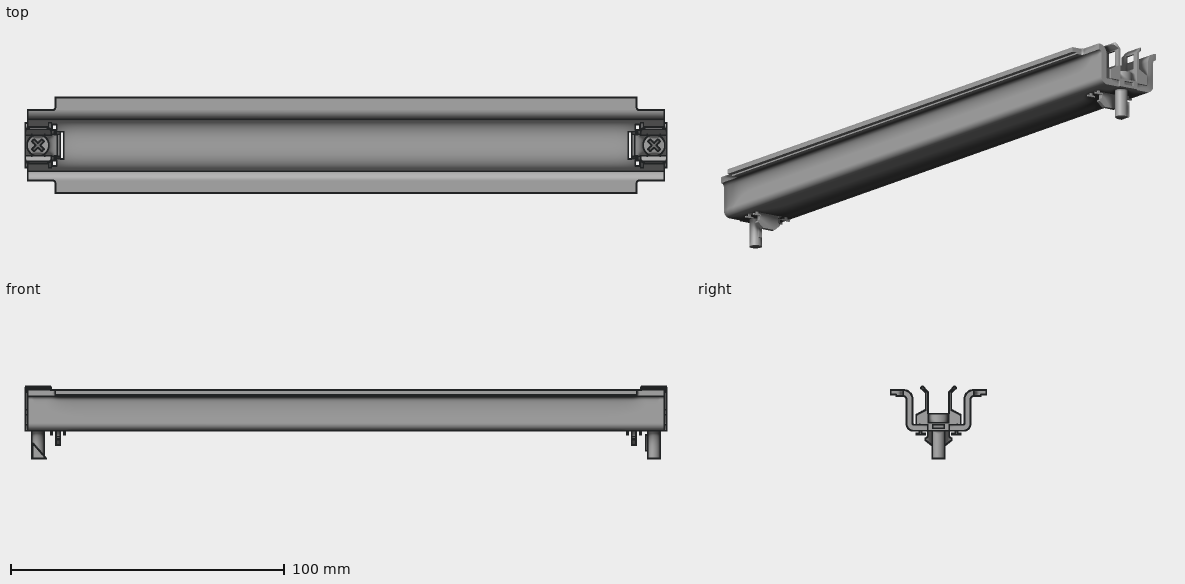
import cadquery as cq
import math

TOTAL_LENGTH = 234.5
TOTAL_HEIGHT = 26.5
END_X = TOTAL_LENGTH / 2

RAIL_LENGTH = 232.6
RAIL_WIDTH = 35.0
RAIL_BOTTOM = 10.0
RAIL_TOP = 25.0
SHEET = 2.3
WALL_OUTER_Y = 11.7
FLOOR_BEND_INNER = 0.35
FLANGE_BEND_INNER = 1.2
WING_THICKNESS = 1.75
WING_STEP_Y = 15.5
WING_LENGTH = 212.5
WING_CORNER_RADIUS = 1.0
FLOOR_TOP = RAIL_BOTTOM + SHEET
BEND_END_Y = WALL_OUTER_Y + FLANGE_BEND_INNER

CLIP_LENGTH = 9.5
CLIP_SHEET = 1.0
BASE_THICKNESS = 0.7
BASE_TOP = FLOOR_TOP + BASE_THICKNESS
BASE_Y = 6.8
SHOULDER_Y = 8.2
SHOULDER_TOP = 16.0
SHOULDER_PEAK = 17.8
HEAD_CLEARANCE_Y = 4.0
ARM_INNER_Y = 3.8
ARM_OUTER_Y = ARM_INNER_Y + CLIP_SHEET
TAB_OPENING_Y = 2.0
TAB_OPENING_BOTTOM = 11.0
LIP_START = 24.2
LIP_REACH = 2.0
LIP_CORNER = 1.9
WINDOW_LENGTH = 5.0
WINDOW_BOTTOM = 18.3
WINDOW_TOP = 24.0

SLOT_START = 10.8
SLOT_LENGTH = 3.3
TONGUE_END = 11.7
HOOK_START = 11.3
HOOK_LENGTH = 1.6
HOOK_Y = 4.0
BARB_Y = 5.0
BARB_TOP = 8.0
BARB_EDGE = 6.8
BARB_FLAT = 0.5
HOOK_TIP_Y = 2.5
HOOK_BOTTOM = 5.0
FOOT_STARTS = (9.4, 14.0)
FOOT_LENGTH = 0.59
FOOT_CENTER_Y = 6.5
FOOT_WIDTH = 3.3
FOOT_STEM_WIDTH = 1.0
FOOT_BOTTOM = 8.7
FOOT_THICKNESS = 0.59
FOOT_SLOT_START = 9.8
FOOT_SLOT_LENGTH = 1.6
FOOT_SLOT_WIDTH = 1.9

SCREW_X = 4.7
SHANK_DIAMETER = 4.7
HEAD_DIAMETER = 8.0
HEAD_TOP = 16.5
RECESS_LENGTH = 5.2
RECESS_WIDTH = 1.2
RECESS_DEPTH = 1.5
BLADE_REACH = 3.0
BLADE_BACK = 1.9
BLADE_TOP = 5.6
RIB_WIDTH = 1.5
RIB_BOTTOM = 2.8
RIB_TOP = 8.7


def box(x0, x1, y0, y1, z0, z1):
    """Box between opposite corners."""
    return cq.Workplane("XY").box(x1 - x0, y1 - y0, z1 - z0, centered=False).translate((x0, y0, z0))


def both_sides(body):
    """Body together with its mirror image across the XZ plane."""
    return body.union(body.mirror("XZ"))


def arc_middle(center_y, center_z, radius, angle):
    """Point of a bend at the given angle in degrees."""
    turn = math.radians(angle)
    return (center_y + radius * math.cos(turn), center_z + radius * math.sin(turn))


def rail_half():
    """Half of the hat section, swept along the rail, with its flange cut back at both ends."""
    wall_inner_y = WALL_OUTER_Y - SHEET
    floor_bend_y = wall_inner_y - FLOOR_BEND_INNER
    floor_bend_z = FLOOR_TOP + FLOOR_BEND_INNER
    floor_outer_radius = FLOOR_BEND_INNER + SHEET
    flange_under = RAIL_TOP - SHEET
    flange_bend_z = flange_under - FLANGE_BEND_INNER
    flange_outer_radius = FLANGE_BEND_INNER + SHEET
    edge_y = RAIL_WIDTH / 2
    half = (
        cq.Workplane("YZ")
        .moveTo(0, RAIL_BOTTOM)
        .lineTo(floor_bend_y, RAIL_BOTTOM)
        .threePointArc(
            arc_middle(floor_bend_y, floor_bend_z, floor_outer_radius, -45),
            (WALL_OUTER_Y, floor_bend_z),
        )
        .lineTo(WALL_OUTER_Y, flange_bend_z)
        .threePointArc(
            arc_middle(BEND_END_Y, flange_bend_z, FLANGE_BEND_INNER, 135),
            (BEND_END_Y, flange_under),
        )
        .lineTo(WING_STEP_Y, flange_under)
        .lineTo(WING_STEP_Y, RAIL_TOP - WING_THICKNESS)
        .lineTo(edge_y, RAIL_TOP - WING_THICKNESS)
        .lineTo(edge_y, RAIL_TOP)
        .lineTo(BEND_END_Y, RAIL_TOP)
        .threePointArc(
            arc_middle(BEND_END_Y, flange_bend_z, flange_outer_radius, 135),
            (wall_inner_y, flange_bend_z),
        )
        .lineTo(wall_inner_y, floor_bend_z)
        .threePointArc(
            arc_middle(floor_bend_y, floor_bend_z, FLOOR_BEND_INNER, -45),
            (floor_bend_y, FLOOR_TOP),
        )
        .lineTo(0, FLOOR_TOP)
        .close()
        .extrude(RAIL_LENGTH / 2, both=True)
    )
    for side in (-1, 1):
        trim = (
            box(WING_LENGTH / 2, END_X, BEND_END_Y, RAIL_WIDTH, RAIL_BOTTOM, TOTAL_HEIGHT)
            .edges("|Z and <X and <Y")
            .fillet(WING_CORNER_RADIUS)
        )
        if side < 0:
            trim = trim.mirror("YZ")
        half = half.cut(trim)
    return half


def shoulder_plate(start):
    """Upright cross plate with sloped shoulders, open in the middle for the screw head."""
    half = (
        cq.Workplane("YZ")
        .polyline([
            (HEAD_CLEARANCE_Y, FLOOR_TOP),
            (SHOULDER_Y, FLOOR_TOP),
            (SHOULDER_Y, SHOULDER_TOP),
            (ARM_OUTER_Y, SHOULDER_PEAK),
            (HEAD_CLEARANCE_Y, SHOULDER_PEAK),
        ])
        .close()
        .extrude(CLIP_SHEET)
        .translate((start, 0, 0))
    )
    return both_sides(half)


def spring_arms():
    """Pair of upright arms with outward lips, each pierced by a window."""
    tip_drop = CLIP_SHEET / math.sqrt(2)
    lip_inner_y = ARM_INNER_Y + LIP_REACH
    arm = (
        cq.Workplane("YZ")
        .polyline([
            (ARM_INNER_Y, FLOOR_TOP),
            (ARM_OUTER_Y, FLOOR_TOP),
            (ARM_OUTER_Y, LIP_START),
            (lip_inner_y + tip_drop, TOTAL_HEIGHT - tip_drop),
            (lip_inner_y, TOTAL_HEIGHT),
            (ARM_INNER_Y, LIP_START),
        ])
        .close()
        .extrude(CLIP_LENGTH)
    )
    rounded_outline = (
        box(0, CLIP_LENGTH, 0, lip_inner_y + tip_drop, 0, TOTAL_HEIGHT)
        .edges("|Z and >Y")
        .fillet(LIP_CORNER)
    )
    window_start = (CLIP_LENGTH - WINDOW_LENGTH) / 2
    window = box(
        window_start, window_start + WINDOW_LENGTH, 0, SHOULDER_Y, WINDOW_BOTTOM, WINDOW_TOP
    )
    return both_sides(arm.intersect(rounded_outline).cut(window))


def clip_base():
    """Base plate on the rail floor, its end tab and the tongue that carries the hook."""
    plate = box(0, CLIP_LENGTH, -BASE_Y, BASE_Y, FLOOR_TOP, BASE_TOP)
    end_tab = box(0, CLIP_SHEET, -HOOK_Y, HOOK_Y, RAIL_BOTTOM, BASE_TOP)
    opening = box(0, CLIP_SHEET, -TAB_OPENING_Y, TAB_OPENING_Y, TAB_OPENING_BOTTOM, FLOOR_TOP)
    tongue = box(CLIP_LENGTH, TONGUE_END, -HOOK_Y, HOOK_Y, FLOOR_TOP, BASE_TOP)
    return plate.union(end_tab.cut(opening)).union(tongue)


def hook():
    """Barbed blade reaching down through the floor slot."""
    half = (
        cq.Workplane("YZ")
        .polyline([
            (0, FLOOR_TOP),
            (HOOK_Y, FLOOR_TOP),
            (HOOK_Y, BARB_TOP),
            (BARB_Y, BARB_EDGE + BARB_FLAT),
            (BARB_Y, BARB_EDGE),
            (HOOK_TIP_Y, HOOK_BOTTOM),
            (0, HOOK_BOTTOM),
        ])
        .close()
        .extrude(HOOK_LENGTH)
        .translate((HOOK_START, 0, 0))
    )
    return both_sides(half)


def feet():
    """Small T-shaped feet under the rail floor."""
    body = cq.Workplane("XY")
    for start in FOOT_STARTS:
        end = start + FOOT_LENGTH
        for side in (-1, 1):
            center = side * FOOT_CENTER_Y
            half_stem = FOOT_STEM_WIDTH / 2
            half_pad = FOOT_WIDTH / 2
            pad_top = FOOT_BOTTOM + FOOT_THICKNESS
            stem = box(start, end, center - half_stem, center + half_stem, FOOT_BOTTOM, FLOOR_TOP)
            pad = box(start, end, center - half_pad, center + half_pad, FOOT_BOTTOM, pad_top)
            body = body.union(stem).union(pad)
    return body


def screw():
    """Screw with a diagonal cross recess."""
    shank = cq.Workplane("XY").circle(SHANK_DIAMETER / 2).extrude(HEAD_TOP)
    head = (
        cq.Workplane("XY")
        .workplane(offset=FLOOR_TOP)
        .circle(HEAD_DIAMETER / 2)
        .extrude(HEAD_TOP - FLOOR_TOP)
    )
    body = shank.union(head)
    for angle in (45, 135):
        slot = (
            cq.Workplane("XY")
            .rect(RECESS_LENGTH, RECESS_WIDTH)
            .extrude(RECESS_DEPTH)
            .rotate((0, 0, 0), (0, 0, 1), angle)
            .translate((0, 0, HEAD_TOP - RECESS_DEPTH))
        )
        body = body.cut(slot)
    return body.translate((SCREW_X, 0, 0))


def cutting_blade():
    """Slanted cutting blade on the front of the shank, at the tip of the screw at the -X end."""
    return (
        cq.Workplane("XZ")
        .polyline([(-BLADE_BACK, 0), (BLADE_REACH, 0), (-BLADE_BACK, BLADE_TOP)])
        .close()
        .extrude(SHANK_DIAMETER / 2)
        .translate((SCREW_X - END_X, 0, 0))
    )


def shank_rib():
    """Short upright rib on the inward side of the shank of the screw at the +X end."""
    screw_x = END_X - SCREW_X
    return box(screw_x - BLADE_REACH, screw_x, -RIB_WIDTH / 2, RIB_WIDTH / 2, RIB_BOTTOM, RIB_TOP)


def floor_slots():
    """Openings in the rail floor for one clip: the hook slot and the two foot slots."""
    slots = box(SLOT_START, SLOT_START + SLOT_LENGTH, -BARB_Y, BARB_Y, RAIL_BOTTOM, FLOOR_TOP)
    foot_slot = box(
        FOOT_SLOT_START, FOOT_SLOT_START + FOOT_SLOT_LENGTH,
        FOOT_CENTER_Y - FOOT_SLOT_WIDTH / 2, FOOT_CENTER_Y + FOOT_SLOT_WIDTH / 2,
        RAIL_BOTTOM, FLOOR_TOP,
    )
    return slots.union(both_sides(foot_slot)).translate((-END_X, 0, 0))


def end_clip():
    """Complete clip with its screw, starting at x = 0 and pointing inward along +X."""
    return (
        clip_base()
        .union(shoulder_plate(0))
        .union(shoulder_plate(CLIP_LENGTH - CLIP_SHEET))
        .union(spring_arms())
        .union(hook())
        .union(feet())
        .union(screw())
    )


slots = floor_slots()
rail = both_sides(rail_half()).cut(slots).cut(slots.mirror("YZ"))
clip = end_clip().translate((-END_X, 0, 0))
result = rail.union(clip).union(clip.mirror("YZ")).union(cutting_blade()).union(shank_rib())